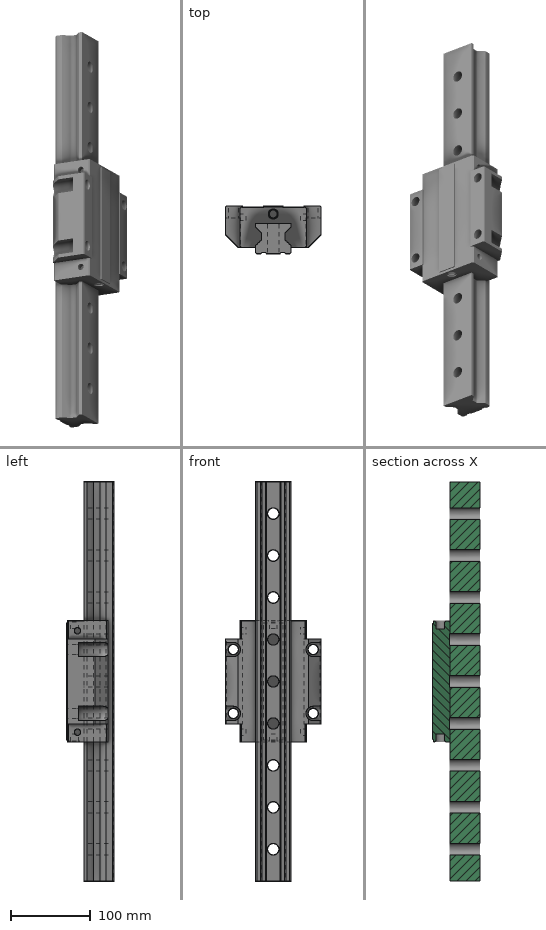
import cadquery as cq


RAIL_LENGTH = 500.0
RAIL_HALF_WIDTH = 22.5
RAIL_HEIGHT = 38.0
RAIL_HEAD_THICKNESS = 4.0
RAIL_FOOT_THICKNESS = 10.0
RACEWAY_DEPTH = 8.0
FOOT_CHAMFER = 2.0
GROOVE_CENTER_X = 12.0
GROOVE_MOUTH_WIDTH = 7.5
GROOVE_DEPTH = 1.5
RAIL_HOLE_DIAMETER = 14.0
RAIL_HOLE_PITCH = 52.5
RAIL_HOLE_COUNT = 9

ASSEMBLY_HEIGHT = 60.0
CARRIAGE_LENGTH = 152.0
CARRIAGE_BOTTOM = 8.0
CARRIAGE_CENTER_Z = RAIL_LENGTH / 2
EDGE_CHAMFER = 1.5

FLANGE_HALF_WIDTH = 60.0
FLANGE_LENGTH = 106.5
FLANGE_BEVEL = 16.0
RELIEF_DEPTH = 1.5
RELIEF_HALF_WIDTH = 38.5

CAP_HALF_WIDTH = 41.5
CAP_TOP = ASSEMBLY_HEIGHT - RELIEF_DEPTH

STRIP_WIDTH = 24.0
STRIP_END_INSET = 3.0

MOUNT_SPACING_X = 100.0
MOUNT_SPACING_Z = 80.0
MOUNT_HOLE_DIAMETER = 12.5
SPOTFACE_DIAMETER = 18.0
SPOTFACE_Y = 45.0

LUBE_PORT_Y = 50.0
LUBE_PORT_DIAMETER = 10.0
LUBE_PORT_MOUTH_DIAMETER = 12.5
LUBE_PORT_MOUTH_DEPTH = 1.5
LUBE_PORT_DEPTH = 10.0

SIDE_PORT_Y = 46.0
SIDE_PORT_DIAMETER = 8.0
SIDE_PORT_END_INSET = 12.5
SIDE_PORT_DEPTH = 7.5


def mirrored_prism(half_outline, z_start, length):
    """Extrude along Z an outline given by its +X half, listed from the bottom up."""
    other_half = [(-x, y) for x, y in reversed(half_outline)]
    return (
        cq.Workplane("XY", origin=(0, 0, z_start))
        .polyline(half_outline + other_half)
        .close()
        .extrude(length)
    )


def block(x_range, y_range, z_range):
    """Box between the given limits."""
    lows, highs = zip(x_range, y_range, z_range)
    size = [high - low for low, high in zip(lows, highs)]
    return cq.Workplane("XY", origin=lows).box(*size, centered=False)


def y_cylinder(x, z, diameter, y_start, y_end):
    """Cylinder along Y between two heights."""
    height = y_end - y_start
    return cq.Workplane(cq.Solid.makeCylinder(diameter / 2, height, (x, y_start, z), (0, 1, 0)))


def rail_profile():
    """Hourglass rail section without its holes."""
    waist = RAIL_HALF_WIDTH - RACEWAY_DEPTH
    head_bottom = RAIL_HEIGHT - RAIL_HEAD_THICKNESS
    groove_inner = GROOVE_CENTER_X - GROOVE_MOUTH_WIDTH / 2
    groove_outer = GROOVE_CENTER_X + GROOVE_MOUTH_WIDTH / 2
    half_outline = [
        (groove_inner, 0),
        (groove_inner + GROOVE_DEPTH, GROOVE_DEPTH),
        (groove_outer - GROOVE_DEPTH, GROOVE_DEPTH),
        (groove_outer, 0),
        (RAIL_HALF_WIDTH - FOOT_CHAMFER, 0),
        (RAIL_HALF_WIDTH, FOOT_CHAMFER),
        (RAIL_HALF_WIDTH, RAIL_FOOT_THICKNESS),
        (waist, RAIL_FOOT_THICKNESS + RACEWAY_DEPTH),
        (waist, head_bottom - RACEWAY_DEPTH),
        (RAIL_HALF_WIDTH, head_bottom),
        (RAIL_HALF_WIDTH, RAIL_HEIGHT),
    ]
    return mirrored_prism(half_outline, 0, RAIL_LENGTH)


def make_rail():
    """Rail with its row of through holes."""
    rail = rail_profile()
    first_hole_z = (RAIL_LENGTH - (RAIL_HOLE_COUNT - 1) * RAIL_HOLE_PITCH) / 2
    for index in range(RAIL_HOLE_COUNT):
        hole_z = first_hole_z + index * RAIL_HOLE_PITCH
        rail = rail.cut(y_cylinder(0, hole_z, RAIL_HOLE_DIAMETER, 0, RAIL_HEIGHT))
    return rail


def flanged_body():
    """Wide middle of the carriage, with its mounting face relieved between the flanges."""
    half_outline = [
        (FLANGE_HALF_WIDTH - FLANGE_BEVEL, CARRIAGE_BOTTOM),
        (FLANGE_HALF_WIDTH, CARRIAGE_BOTTOM + FLANGE_BEVEL),
        (FLANGE_HALF_WIDTH, ASSEMBLY_HEIGHT - EDGE_CHAMFER),
        (FLANGE_HALF_WIDTH - EDGE_CHAMFER, ASSEMBLY_HEIGHT),
        (RELIEF_HALF_WIDTH, ASSEMBLY_HEIGHT),
        (RELIEF_HALF_WIDTH, CAP_TOP),
    ]
    return mirrored_prism(half_outline, CARRIAGE_CENTER_Z - FLANGE_LENGTH / 2, FLANGE_LENGTH)


def end_cap_body():
    """Narrower block with chamfered edges; its ends project past the flanges as end caps."""
    half_outline = [
        (CAP_HALF_WIDTH - EDGE_CHAMFER, CARRIAGE_BOTTOM),
        (CAP_HALF_WIDTH, CARRIAGE_BOTTOM + EDGE_CHAMFER),
        (CAP_HALF_WIDTH, CAP_TOP - EDGE_CHAMFER),
        (CAP_HALF_WIDTH - EDGE_CHAMFER, CAP_TOP),
    ]
    return mirrored_prism(half_outline, CARRIAGE_CENTER_Z - CARRIAGE_LENGTH / 2, CARRIAGE_LENGTH)


def raised_strip():
    """Central strip that brings the relieved face back up to the mounting height."""
    half_length = CARRIAGE_LENGTH / 2 - STRIP_END_INSET
    return block(
        (-STRIP_WIDTH / 2, STRIP_WIDTH / 2),
        (CAP_TOP, ASSEMBLY_HEIGHT),
        (CARRIAGE_CENTER_Z - half_length, CARRIAGE_CENTER_Z + half_length),
    )


def mount_hole(side, z):
    """Through hole in a flange, with a spotface slot that opens to the flange's outer side."""
    x = side * MOUNT_SPACING_X / 2
    slot_ends = sorted((x, side * FLANGE_HALF_WIDTH))
    radius = SPOTFACE_DIAMETER / 2
    hole = y_cylinder(x, z, MOUNT_HOLE_DIAMETER, CARRIAGE_BOTTOM, ASSEMBLY_HEIGHT)
    spotface = y_cylinder(x, z, SPOTFACE_DIAMETER, CARRIAGE_BOTTOM, SPOTFACE_Y)
    slot = block(slot_ends, (CARRIAGE_BOTTOM, SPOTFACE_Y), (z - radius, z + radius))
    return hole.union(spotface).union(slot)


def lube_port(end):
    """Blind port in one end face, with a wider shallow mouth."""
    center = (0, LUBE_PORT_Y, CARRIAGE_CENTER_Z + end * CARRIAGE_LENGTH / 2)
    inward = (0, 0, -end)
    bore = cq.Solid.makeCylinder(LUBE_PORT_DIAMETER / 2, LUBE_PORT_DEPTH, center, inward)
    mouth = cq.Solid.makeCylinder(LUBE_PORT_MOUTH_DIAMETER / 2, LUBE_PORT_MOUTH_DEPTH, center, inward)
    return cq.Workplane(bore).union(cq.Workplane(mouth))


def side_port(side, end):
    """Small blind port in the side of an end cap."""
    z = CARRIAGE_CENTER_Z + end * (CARRIAGE_LENGTH / 2 - SIDE_PORT_END_INSET)
    center = (side * CAP_HALF_WIDTH, SIDE_PORT_Y, z)
    return cq.Workplane(
        cq.Solid.makeCylinder(SIDE_PORT_DIAMETER / 2, SIDE_PORT_DEPTH, center, (-side, 0, 0))
    )


def make_carriage():
    """Carriage fitted closely around the rail section."""
    carriage = flanged_body()
    carriage = carriage.union(end_cap_body())
    carriage = carriage.union(raised_strip())
    carriage = carriage.cut(rail_profile())
    for end in (-1, 1):
        carriage = carriage.cut(lube_port(end))
        for side in (-1, 1):
            mount_z = CARRIAGE_CENTER_Z + end * MOUNT_SPACING_Z / 2
            carriage = carriage.cut(mount_hole(side, mount_z))
            carriage = carriage.cut(side_port(side, end))
    return carriage


rail = make_rail()
carriage = make_carriage()

result = cq.Compound.makeCompound([rail.solids().val(), carriage.solids().val()])